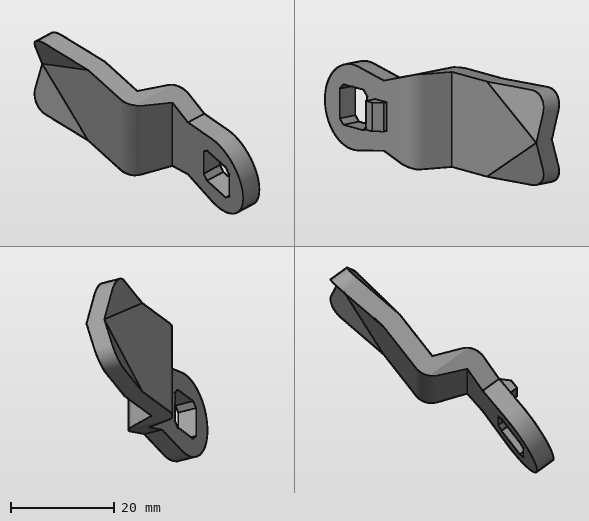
import cadquery as cq
import math

length = 53.45
blade_width = 19.0
thickness = 4.0
half_width = blade_width / 2

blade_back_y = -8.0
blade_bend_x = 25.0
head_bend_x = 30.95

corner_radius = 3.9
fold_length = 14.65
fold_drop = 2.9

shoulder_x = 27.85
neck_x = 35.95
neck_half_width = 7.0
head_radius = 8.5
head_x = length - head_radius

hole_size = 8.1
hole_chamfer = 1.05

tab_start_x = 35.0
tab_length = 3.5
tab_height = 2.4
tab_width = 5.7
tab_chamfer = 1.6


def polar(center_x, center_y, radius, angle):
    return (center_x + radius * math.cos(angle), center_y + radius * math.sin(angle))


def bent_strip():
    """Constant-thickness strip: each outer bend arc is centred on the inner corner."""
    blade_front_y = blade_back_y - thickness
    run = head_bend_x - blade_bend_x
    rise = -thickness - blade_back_y
    corner_distance = math.hypot(run, rise)
    riser_angle = math.atan2(rise, run) + math.asin(thickness / corner_distance)
    back_normal = riser_angle + math.pi / 2
    front_normal = riser_angle - math.pi / 2
    back_middle = (back_normal + math.pi / 2) / 2
    front_middle = (front_normal - math.pi / 2) / 2

    def back_arc(angle):
        return polar(head_bend_x, -thickness, thickness, angle)

    def front_arc(angle):
        return polar(blade_bend_x, blade_back_y, thickness, angle)

    return (
        cq.Workplane("XY", origin=(0, 0, -half_width))
        .moveTo(0, blade_back_y)
        .lineTo(blade_bend_x, blade_back_y)
        .lineTo(*back_arc(back_normal))
        .threePointArc(back_arc(back_middle), (head_bend_x, 0))
        .lineTo(length, 0)
        .lineTo(length, -thickness)
        .lineTo(head_bend_x, -thickness)
        .lineTo(*front_arc(front_normal))
        .threePointArc(front_arc(front_middle), (blade_bend_x, blade_front_y))
        .lineTo(0, blade_front_y)
        .close()
        .extrude(blade_width)
    )


def corner_prism(side, drop):
    """Triangular blade corner; its outer point is lowered by drop towards -Y."""
    points = [
        cq.Vector(0, blade_back_y, 0),
        cq.Vector(fold_length, blade_back_y, side * half_width),
        cq.Vector(0, blade_back_y - drop, side * half_width),
    ]
    triangle = cq.Wire.makePolygon(points, close=True)
    prism = cq.Solid.extrudeLinear(triangle, [], cq.Vector(0, -thickness, 0))
    return cq.Workplane(prism)


def outline_prism():
    """Silhouette in XZ, extruded through the full depth of the part."""
    depth = 53.45
    reach = head_x - neck_x
    neck_distance = math.hypot(reach, neck_half_width)
    edge_angle = math.asin(head_radius / neck_distance) - math.atan2(neck_half_width, reach)
    tangent_x, tangent_z = polar(head_x, 0, head_radius, edge_angle + math.pi / 2)
    blank = (
        cq.Workplane("XZ")
        .moveTo(0, -half_width)
        .lineTo(shoulder_x, -half_width)
        .lineTo(neck_x, -neck_half_width)
        .lineTo(tangent_x, -tangent_z)
        .threePointArc((length, 0), (tangent_x, tangent_z))
        .lineTo(neck_x, neck_half_width)
        .lineTo(shoulder_x, half_width)
        .lineTo(0, half_width)
        .close()
        .extrude(depth / 2, both=True)
        .edges("|Y and <X")
        .fillet(corner_radius)
    )
    hole = (
        cq.Workplane("XZ")
        .center(head_x, 0)
        .rect(hole_size, hole_size)
        .extrude(depth / 2, both=True)
        .edges("|Y")
        .chamfer(hole_chamfer)
    )
    return blank.cut(hole)


def stop_tab():
    """Tab rooted inside the head plate, with its blade-side outer edge bevelled."""
    tab_end_x = tab_start_x + tab_length
    return (
        cq.Workplane("XY", origin=(0, 0, -tab_width / 2))
        .moveTo(tab_start_x, -thickness / 2)
        .lineTo(tab_start_x, tab_height - tab_chamfer)
        .lineTo(tab_start_x + tab_chamfer, tab_height)
        .lineTo(tab_end_x, tab_height)
        .lineTo(tab_end_x, -thickness / 2)
        .close()
        .extrude(tab_width)
    )


strip = bent_strip()
for side in (-1, 1):
    strip = strip.cut(corner_prism(side, 0)).union(corner_prism(side, fold_drop))

result = strip.intersect(outline_prism()).union(stop_tab())